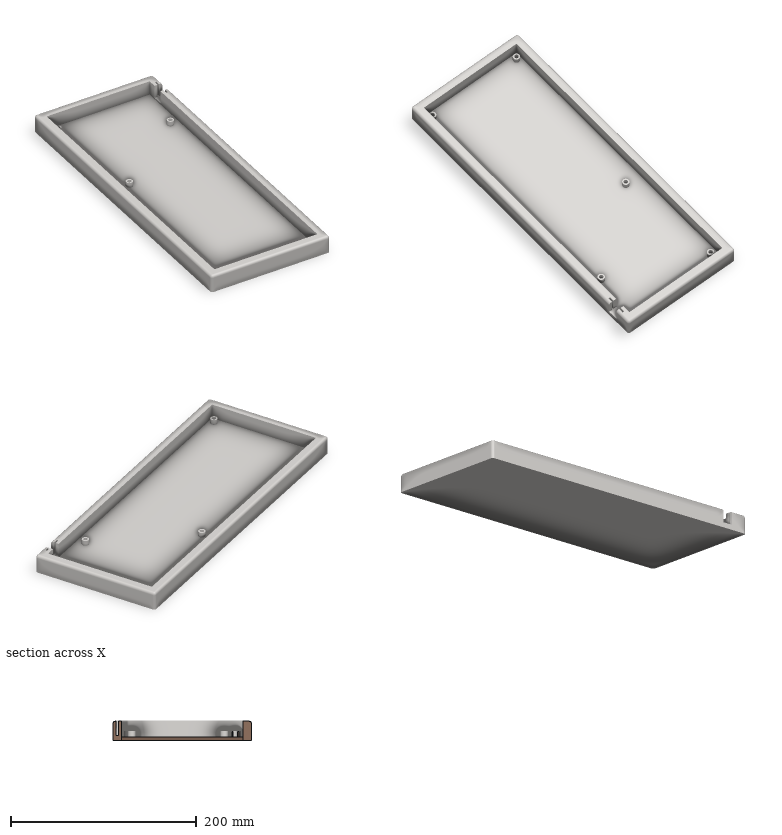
import cadquery as cq

LENGTH = 366.2
WIDTH = 149.8
HEIGHT = 21.2
EDGE_RADIUS = 3.0

FLOOR_THICKNESS = 4.0
CAVITY_LENGTH = 346.0
CAVITY_WIDTH = 130.0
REAR_WALL = (WIDTH - CAVITY_WIDTH) / 2

NOTCH_X = -156.7
NOTCH_WIDTH = 12.0
NOTCH_SILL = 6.0
SLOT_SPAN = 23.8
SLOT_WIDTH = 2.0
SLOT_SETBACK = 4.0

STANDOFF_DIAMETER = 8.0
STANDOFF_BORE = 4.8
STANDOFF_HEIGHT = 6.0
STANDOFF_POSITIONS = [
    (-163.0, -57.0),
    (-112.5, 54.2),
    (-34.5, -45.5),
    (166.3, -59.5),
    (166.0, 58.5),
]


def box_from_floor(length, width, height, x=0, y=0, z=0):
    """Box centred on (x, y) with its underside at z."""
    return cq.Workplane("XY").box(length, width, height, centered=(True, True, False)).translate((x, y, z))


def make_frame():
    """Rectangular wall with rounded outer edges and the notch in its rear side."""
    frame = box_from_floor(LENGTH, WIDTH, HEIGHT)
    frame = frame.edges("|Z").fillet(EDGE_RADIUS)
    frame = frame.faces(">Z").edges().fillet(EDGE_RADIUS)
    frame = frame.cut(box_from_floor(CAVITY_LENGTH, CAVITY_WIDTH, HEIGHT))

    notch_depth = HEIGHT - NOTCH_SILL
    notch_y = (WIDTH - REAR_WALL) / 2
    frame = frame.cut(box_from_floor(NOTCH_WIDTH, REAR_WALL, notch_depth, NOTCH_X, notch_y, NOTCH_SILL))

    slot_y = WIDTH / 2 - SLOT_SETBACK - SLOT_WIDTH / 2
    return frame.cut(box_from_floor(SLOT_SPAN, SLOT_WIDTH, notch_depth, NOTCH_X, slot_y, NOTCH_SILL))


def make_floor():
    """Flat plate that fills the frame opening."""
    return box_from_floor(CAVITY_LENGTH, CAVITY_WIDTH, FLOOR_THICKNESS)


def make_standoff(x, y):
    """Tubular standoff that stands on the floor."""
    return (
        cq.Workplane("XY", origin=(x, y, FLOOR_THICKNESS))
        .circle(STANDOFF_DIAMETER / 2)
        .circle(STANDOFF_BORE / 2)
        .extrude(STANDOFF_HEIGHT)
    )


frame = make_frame()
floor = make_floor()
standoffs = [make_standoff(x, y).val() for x, y in STANDOFF_POSITIONS]

result = cq.Compound.makeCompound([frame.val(), floor.val(), *standoffs])